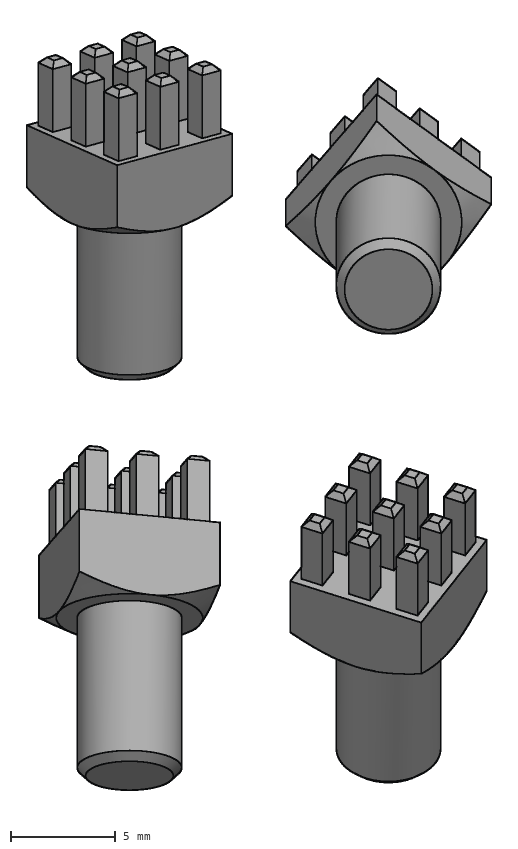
import cadquery as cq
import math

total_height = 15.5
body_width = 7.0
body_height = 4.0
pin_height = 3.5
shaft_length = total_height - body_height - pin_height

shaft_diameter = 5.0
shaft_chamfer = 0.4

pins_per_side = 3
pin_pitch = 2.54
pin_width = 1.13
pin_chamfer = 0.3

relief_angle = math.radians(30)
corner_radius = body_width / math.sqrt(2)
relief_start_radius = body_width / 2


def make_shaft():
    """Round shaft below the body, chamfered at its free end."""
    return (
        cq.Workplane("XY")
        .workplane(offset=-shaft_length)
        .circle(shaft_diameter / 2)
        .extrude(shaft_length)
        .faces("<Z")
        .chamfer(shaft_chamfer)
    )


def make_body():
    """Square block whose lower corners are turned off by a shallow cone."""
    block = cq.Workplane("XY").rect(body_width, body_width).extrude(body_height)
    relief_height = (corner_radius - relief_start_radius) * math.tan(relief_angle)
    turned_envelope = (
        cq.Workplane("XZ")
        .moveTo(0, 0)
        .lineTo(relief_start_radius, 0)
        .lineTo(corner_radius, relief_height)
        .lineTo(corner_radius, body_height)
        .lineTo(0, body_height)
        .close()
        .revolve(360, (0, 0), (0, 1))
    )
    return block.intersect(turned_envelope)


def make_pins():
    """Square grid of pins on the body, each with a chamfered tip."""
    return (
        cq.Workplane("XY")
        .workplane(offset=body_height)
        .rarray(pin_pitch, pin_pitch, pins_per_side, pins_per_side)
        .rect(pin_width, pin_width)
        .extrude(pin_height)
        .faces(">Z")
        .chamfer(pin_chamfer)
    )


result = make_body().union(make_shaft()).union(make_pins())